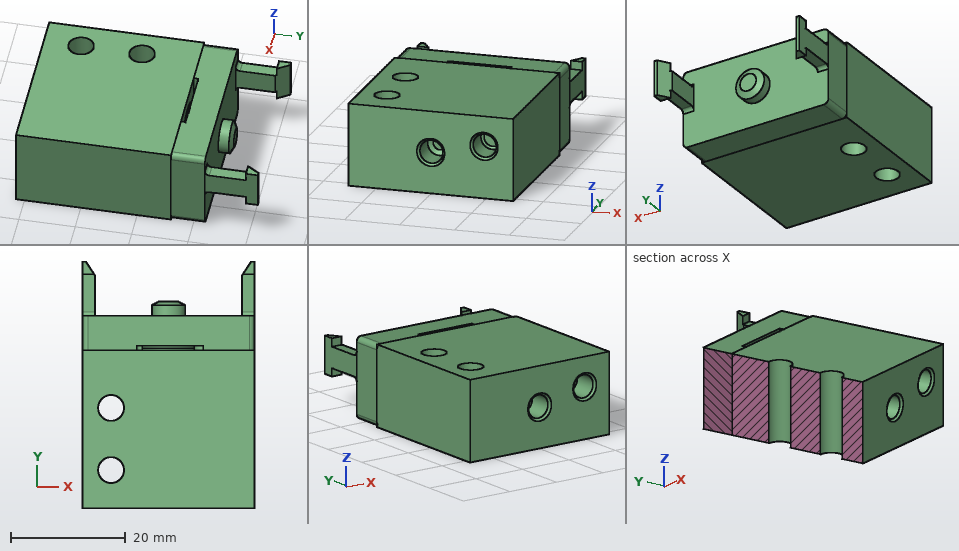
import cadquery as cq
import math

width = 30.0
height = 15.0
housing_length = 27.5
cover_length = 6.0
total_length = 42.9
cover_front = housing_length + cover_length
top_z = height / 2

mount_radius = 2.25
mount_x = -10.0
mount_ys = (6.65, 17.45)
port_mouth_radius = 2.55
port_radius = 2.1
port_depth = 5.0
port_tip_angle = 118
center_port_floor_radius = 1.25
side_port_floor_radius = 1.65
side_port_x = 9.7

offset_z = 2.0
finger_thickness = 2.25
finger_tip_height = 6.95
finger_tip_length = 2.15
finger_neck_height = 3.9
finger_root_fillet = 0.75
finger_edge_width = 0.65
finger_taper_length = 2.4

cover_fillet = 1.0
pocket_depth = 0.8
pocket_left = -5.55
pocket_right = 6.0
groove_radius = 0.85
groove_x = -4.8
groove_end_x = -4.55
pocket_shoulder_radius = 1.55

hub_radius = 4.98
hub_flare = 0.17
hub_flare_length = 0.4

button_radius = 2.9
button_top_radius = 1.67
button_height = 2.5
button_bevel_height = 0.65


def revolve_about_y(profile, x=0.0, z=0.0):
    """Turn a closed (radius, y) profile about the line parallel to Y through (x, z)."""
    turned = cq.Workplane("XY").polyline(profile).close().revolve(360, (0, 0, 0), (0, 1, 0))
    return turned.translate((x, 0, z))


def port_cutter(x, z, floor_radius):
    """Bore with a 45 degree mouth chamfer and a drill-point cone down to a flat floor."""
    mouth_depth = port_mouth_radius - port_radius
    half_tip_angle = math.radians(port_tip_angle / 2)
    floor_y = port_depth + (port_radius - floor_radius) / math.tan(half_tip_angle)
    profile = [
        (0, 0),
        (port_mouth_radius, 0),
        (port_radius, mouth_depth),
        (port_radius, port_depth),
        (floor_radius, floor_y),
        (0, floor_y),
    ]
    return revolve_about_y(profile, x, z)


def make_housing():
    block = cq.Workplane("XY").box(width, housing_length, height, centered=(True, False, True))
    for mount_y in mount_ys:
        mount_circle = cq.Workplane("XY").center(mount_x, mount_y).circle(mount_radius)
        mount_hole = mount_circle.extrude(top_z, both=True)
        block = block.cut(mount_hole)
    block = block.cut(port_cutter(0, 0, center_port_floor_radius))
    return block.cut(port_cutter(side_port_x, offset_z, side_port_floor_radius))


def pocket_cutter():
    """Cradle for the hub, open to the top between a grooved left and a rounded right wall."""
    cradle_radius = hub_radius + hub_flare

    groove_end_z = math.sqrt(cradle_radius**2 - groove_end_x**2)
    groove_z = groove_end_z + math.sqrt(groove_radius**2 - (groove_end_x - groove_x) ** 2)
    groove_left_z = groove_z - math.sqrt(groove_radius**2 - (pocket_left - groove_x) ** 2)

    shoulder_left = pocket_right - pocket_shoulder_radius
    shoulder_center_z = math.sqrt(cradle_radius**2 - shoulder_left**2)
    shoulder_mid_shift = pocket_shoulder_radius * math.sqrt(0.5)

    outline = (
        cq.Workplane("XZ", origin=(0, housing_length, 0))
        .moveTo(pocket_left, top_z)
        .lineTo(pocket_left, groove_left_z)
        .threePointArc((groove_x, groove_z - groove_radius), (groove_end_x, groove_end_z))
        .threePointArc((0, -cradle_radius), (shoulder_left, shoulder_center_z))
        .threePointArc(
            (pocket_right - shoulder_mid_shift, shoulder_center_z + shoulder_mid_shift),
            (pocket_right, shoulder_center_z + pocket_shoulder_radius),
        )
        .lineTo(pocket_right, top_z)
        .close()
    )
    return outline.extrude(-pocket_depth)


def make_cover():
    block = cq.Workplane("XY").box(width, cover_length, height, centered=(True, False, True))
    block = block.edges("|Y").fillet(cover_fillet).translate((0, housing_length, 0))
    return block.cut(pocket_cutter())


def make_finger(side):
    """T-shaped finger on the cover front; side is -1 for left and 1 for right."""
    tip_back = total_length - finger_tip_length
    neck_half = finger_neck_height / 2
    tip_half = finger_tip_height / 2
    outer_x = side * width / 2
    inner_x = outer_x - side * finger_thickness
    edge_x = outer_x - side * finger_edge_width
    root_half = neck_half + finger_root_fillet
    root_y = cover_front + finger_root_fillet
    fillet_shift = finger_root_fillet * (1 - math.sqrt(0.5))
    root_mid_y = cover_front + fillet_shift
    root_mid_z = neck_half + fillet_shift

    side_outline = (
        cq.Workplane("YZ", origin=(outer_x, 0, offset_z))
        .moveTo(cover_front, -root_half)
        .threePointArc((root_mid_y, -root_mid_z), (root_y, -neck_half))
        .lineTo(tip_back, -neck_half)
        .lineTo(tip_back, -tip_half)
        .lineTo(total_length, -tip_half)
        .lineTo(total_length, tip_half)
        .lineTo(tip_back, tip_half)
        .lineTo(tip_back, neck_half)
        .lineTo(root_y, neck_half)
        .threePointArc((root_mid_y, root_mid_z), (cover_front, root_half))
        .close()
    )
    finger = side_outline.extrude(-side * finger_thickness)

    taper = (
        cq.Workplane("XY", origin=(0, 0, offset_z))
        .moveTo(inner_x, total_length - finger_taper_length)
        .lineTo(inner_x, total_length)
        .lineTo(edge_x, total_length)
        .close()
        .extrude(tip_half, both=True)
    )
    return finger.cut(taper)


def make_hub():
    profile = [
        (0, housing_length),
        (hub_radius + hub_flare, housing_length),
        (hub_radius, housing_length + hub_flare_length),
        (hub_radius, housing_length + pocket_depth),
        (0, housing_length + pocket_depth),
    ]
    return revolve_about_y(profile)


def make_button():
    button_end = cover_front + button_height
    profile = [
        (0, cover_front),
        (button_radius, cover_front),
        (button_radius, button_end - button_bevel_height),
        (button_top_radius, button_end),
        (0, button_end),
    ]
    return revolve_about_y(profile)


housing = make_housing()
cover = make_cover()
fingers = [make_finger(side) for side in (-1, 1)]
hub = make_hub()
button = make_button()

result = cq.Compound.makeCompound(
    [housing.val(), cover.val(), *[finger.val() for finger in fingers], hub.val(), button.val()]
)